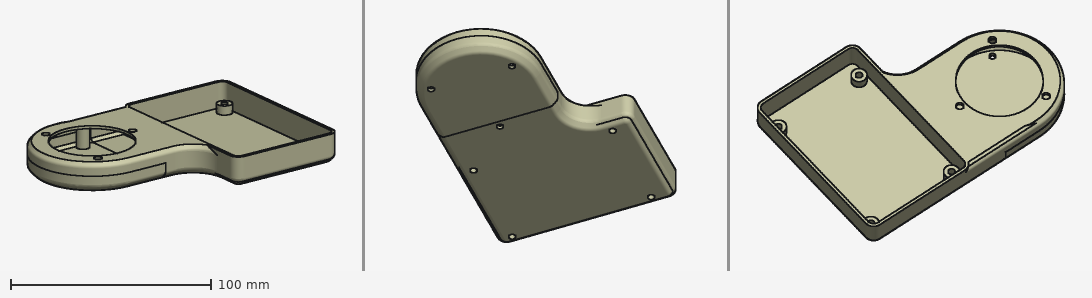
import cadquery as cq
import math


width = 96.0
length = 139.0
height = 16.0

arm_radius = 32.5
arm_left = -arm_radius
arm_front = -arm_radius
inside_corner_radius = 15.0

tray_depth = 64.0
tray_corner_radius = 5.0
tray_wall = 1.7
tray_left = arm_left
tray_right = tray_left + width
tray_back = arm_front + length
tray_front = tray_back - tray_depth

floor_thickness = 2.1
plate_thickness = 1.5
arm_wall = 2.4

bottom_chamfer = 3.3
bottom_rounding = 2.5
top_chamfer = 2.1
top_rounding = 2.1
cavity_chamfer = 1.7

flat_inner_offset = 2.9
flat_outer_offset = 1.3
flat_end_inner = 7.2
flat_end_outer = 1.3

cover_height = 9.0
cover_back = 21.5

dial_diameter = 43.8
dial_screw_circle_radius = 25.2
dial_screw_count = 3
dial_screw_diameter = 4.0
floor_hole_diameter = 3.3

arm_post_diameter = 7.0
arm_post_x = 26.0
arm_post_y = 13.6

standoff_diameter = 8.0
standoff_hole_diameter = 3.5
standoff_top = 7.0
standoff_pitch_x = 75.0
standoff_pitch_y = 51.2
standoff_left_inset = 8.5
standoff_back_inset = 6.1


def box(x0, x1, y0, y1, z0, z1):
    """Axis-aligned block between the given limits."""
    return cq.Workplane("XY").box(x1 - x0, y1 - y0, z1 - z0, centered=False).translate((x0, y0, z0))


def cylinder(x, y, diameter, z0, z1):
    """Upright cylinder between two heights."""
    return cq.Workplane("XY", origin=(x, y, z0)).circle(diameter / 2).extrude(z1 - z0)


def level(z):
    """Selector for the edges lying flat at one height."""
    margin = 0.01
    return cq.selectors.BoxSelector((-length, -length, z - margin), (length, length, z + margin))


def outer_block():
    """Whole outer form: arm and tray in one outline, with a chamfered and rounded bottom edge."""
    outline = (
        cq.Workplane("XY")
        .moveTo(arm_left, 0)
        .threePointArc((0, arm_front), (arm_radius, 0))
        .lineTo(arm_radius, tray_front - inside_corner_radius)
        .radiusArc((arm_radius + inside_corner_radius, tray_front), inside_corner_radius)
        .lineTo(tray_right, tray_front)
        .lineTo(tray_right, tray_back)
        .lineTo(tray_left, tray_back)
        .close()
    )
    block = outline.extrude(height)
    tray_corners = cq.selectors.BoxSelector(
        (tray_right - 1.4, tray_front - 1.4, 0), (tray_right + 1.4, tray_back + 1.4, height)
    ) + cq.selectors.BoxSelector((tray_left - 1.4, tray_back - 1.4, 0), (tray_left + 1.4, tray_back + 1.4, height))
    block = block.edges("|Z").edges(tray_corners).fillet(tray_corner_radius)
    block = block.faces("<Z").chamfer(bottom_chamfer)
    block = block.edges(level(0)).fillet(bottom_rounding)
    return block.edges(level(bottom_chamfer)).fillet(bottom_rounding)


def tray_column():
    """Upright block with the rounded outline of the tray."""
    column = box(tray_left, tray_right, tray_front, tray_back, 0, height)
    return column.edges("|Z").fillet(tray_corner_radius)


def edge_waste(face, inward, origin):
    """Section of the waste along a top edge: a chamfer that rounds into the upright face."""
    tangent_length = top_rounding * math.tan(math.radians(22.5))
    blend_depth = tangent_length * math.sin(math.radians(45))
    middle_depth = top_rounding * (1 - math.cos(math.radians(22.5)))
    middle_rise = top_rounding * math.sin(math.radians(22.5))
    blend_start = height - top_chamfer - tangent_length
    return (
        cq.Workplane("XZ", origin=origin)
        .moveTo(face, blend_start)
        .threePointArc(
            (face + inward * middle_depth, blend_start + middle_rise),
            (face + inward * blend_depth, height - top_chamfer + blend_depth),
        )
        .lineTo(face + inward * top_chamfer, height)
        .lineTo(face, height)
        .close()
    )


def top_edge_cutters():
    """Waste along the arm's top edge: round front, right side, inside corner and left side."""
    corner_x = arm_radius + inside_corner_radius
    corner_y = tray_front - inside_corner_radius
    left_back = tray_front + tray_corner_radius

    front_ring = edge_waste(arm_radius, -1, (0, 0, 0)).revolve(360, (0, 0), (0, 1))
    front = front_ring.intersect(box(arm_left, arm_radius, arm_front, 0, 0, height))

    right = edge_waste(arm_radius, -1, (0, corner_y, 0)).extrude(corner_y)

    corner_ring = edge_waste(inside_corner_radius, 1, (corner_x, corner_y, 0)).revolve(360, (0, 0), (0, 1))
    corner = corner_ring.intersect(box(0, corner_x, corner_y, tray_front, 0, height))

    left = edge_waste(arm_left, 1, (0, left_back, 0)).extrude(left_back)
    return [front, right, corner, left.cut(tray_column())]


def left_flat_cutter():
    """Wedge that lays a shallow flat over the left edge of the arm, with a slanted front end."""
    drop = top_chamfer - flat_outer_offset
    slope = drop / (flat_inner_offset - flat_outer_offset)
    inner_x = arm_left + flat_inner_offset
    wedge = (
        cq.Workplane("XZ", origin=(0, tray_back, 0))
        .moveTo(inner_x, height)
        .lineTo(arm_left, height - slope * flat_inner_offset)
        .lineTo(arm_left, height)
        .close()
        .extrude(length)
    )
    reach = (
        cq.Workplane("XY")
        .moveTo(inner_x, flat_end_inner)
        .lineTo(arm_left + flat_outer_offset, flat_end_outer)
        .lineTo(arm_left, flat_end_outer)
        .lineTo(arm_left, tray_back)
        .lineTo(inner_x, tray_back)
        .close()
        .extrude(height)
    )
    return wedge.intersect(reach).cut(tray_column())


def tray_pocket():
    """Open pocket of the tray."""
    pocket = box(
        tray_left + tray_wall,
        tray_right - tray_wall,
        tray_front + tray_wall,
        tray_back - tray_wall,
        floor_thickness,
        height,
    )
    return pocket.edges("|Z").fillet(tray_corner_radius - tray_wall)


def arm_cavity():
    """Hollow inside the arm, with a sloped edge around its floor."""
    radius = arm_radius - arm_wall
    cavity = (
        cq.Workplane("XY", origin=(0, 0, floor_thickness))
        .moveTo(-radius, 0)
        .threePointArc((0, -radius), (radius, 0))
        .lineTo(radius, tray_front)
        .lineTo(-radius, tray_front)
        .close()
        .extrude(height - plate_thickness - floor_thickness)
    )
    return cavity.faces("<Z").chamfer(cavity_chamfer)


def dial_screw_points():
    """Centres of the screw holes spaced evenly around the dial opening."""
    angles = [math.radians(90 + 360 * i / dial_screw_count) for i in range(dial_screw_count)]
    return [(dial_screw_circle_radius * math.cos(a), dial_screw_circle_radius * math.sin(a)) for a in angles]


def standoff_points():
    """Centres of the four tray standoffs."""
    left = tray_left + standoff_left_inset
    back = tray_back - standoff_back_inset
    return [(x, y) for x in (left, left + standoff_pitch_x) for y in (back - standoff_pitch_y, back)]


def hollow_case():
    """Housing and cover still in one piece: outer form, cavities and the holes through the floor."""
    case = outer_block()
    for waste in top_edge_cutters():
        case = case.cut(waste)
    case = case.cut(left_flat_cutter())
    case = case.cut(tray_pocket()).cut(arm_cavity())
    for x, y in standoff_points():
        case = case.union(cylinder(x, y, standoff_diameter, floor_thickness, standoff_top))
        case = case.cut(cylinder(x, y, standoff_hole_diameter, 0, standoff_top))
    for x, y in dial_screw_points():
        case = case.cut(cylinder(x, y, floor_hole_diameter, 0, floor_thickness))
    return case


def cover_space():
    """Region that belongs to the cover."""
    return box(arm_left, arm_radius, arm_front, cover_back, 0, cover_height)


def make_housing(case):
    """Tray and arm without the cover, with the dial opening, its screw holes and the arm posts."""
    plate_bottom = height - plate_thickness
    housing = case.cut(cover_space())
    housing = housing.cut(cylinder(0, 0, dial_diameter, plate_bottom, height))
    for x, y in dial_screw_points():
        housing = housing.cut(cylinder(x, y, dial_screw_diameter, plate_bottom, height))
    for x in (-arm_post_x, arm_post_x):
        housing = housing.union(cylinder(x, arm_post_y, arm_post_diameter, floor_thickness, plate_bottom))
    return housing


def make_cover(case):
    """Removable lower front of the arm."""
    return case.intersect(cover_space())


case = hollow_case()
housing = make_housing(case)
cover = make_cover(case)

result = cq.Compound.makeCompound([housing.val(), cover.val()])